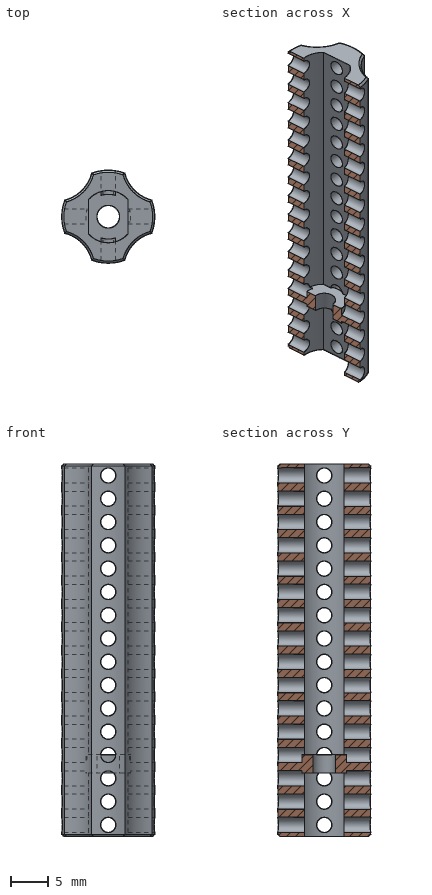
import cadquery as cq

LENGTH = 50.0
LOBES = 4
LOBE_ANGLE = 360 / LOBES
BODY_DIAMETER = 12.5
BODY_RADIUS = BODY_DIAMETER / 2
SCALLOP_RADIUS = 5.0
SCALLOP_AXIS_DISTANCE = 10.0
END_CHAMFER = 0.3

SOCKET_DIAMETER = 7.0
SOCKET_FLAT_WIDTH = 5.25
WEB_BOTTOM = 8.5
WEB_THICKNESS = 2.5
WEB_TOP = WEB_BOTTOM + WEB_THICKNESS
WEB_CORE_RADIUS = 3.0
SCREW_HOLE_DIAMETER = 3.0

RADIAL_HOLE_DIAMETER = 2.0
HOLES_PER_ROW = 16
HOLE_PITCH = LENGTH / HOLES_PER_ROW
FIRST_HOLE_Z = HOLE_PITCH / 2


def make_body():
    """Scalloped bar with chamfered ends."""
    scallops = (
        cq.Workplane("XY")
        .polarArray(SCALLOP_AXIS_DISTANCE, LOBE_ANGLE / 2, 360, LOBES)
        .circle(SCALLOP_RADIUS)
        .extrude(LENGTH)
    )
    body = cq.Workplane("XY").circle(BODY_RADIUS).extrude(LENGTH).cut(scallops)
    return body.faces("<Z or >Z").chamfer(END_CHAMFER)


def make_socket(bottom, top):
    """Double-D cutter: a cylinder with two flats facing along X."""
    depth = top - bottom
    cylinder = cq.Workplane("XY").workplane(offset=bottom).circle(SOCKET_DIAMETER / 2).extrude(depth)
    slab = (
        cq.Workplane("XY")
        .workplane(offset=bottom)
        .rect(SOCKET_FLAT_WIDTH, SOCKET_DIAMETER)
        .extrude(depth)
    )
    return cylinder.intersect(slab)


def make_hole_row(direction):
    """Hole cutters along one lobe, from the axis outwards, sparing the core of the web."""
    heights = [(0, FIRST_HOLE_Z + index * HOLE_PITCH) for index in range(HOLES_PER_ROW)]
    row = cq.Workplane("YZ").pushPoints(heights).circle(RADIAL_HOLE_DIAMETER / 2).extrude(BODY_RADIUS)
    web_core = cq.Workplane("XY").workplane(offset=WEB_BOTTOM).circle(WEB_CORE_RADIUS).extrude(WEB_THICKNESS)
    return row.cut(web_core).rotate((0, 0, 0), (0, 0, 1), direction)


result = make_body()
result = result.cut(make_socket(0, WEB_BOTTOM))
result = result.cut(make_socket(WEB_TOP, LENGTH))

screw_hole = cq.Workplane("XY").circle(SCREW_HOLE_DIAMETER / 2).extrude(LENGTH)
result = result.cut(screw_hole)

for lobe in range(LOBES):
    result = result.cut(make_hole_row(lobe * LOBE_ANGLE))